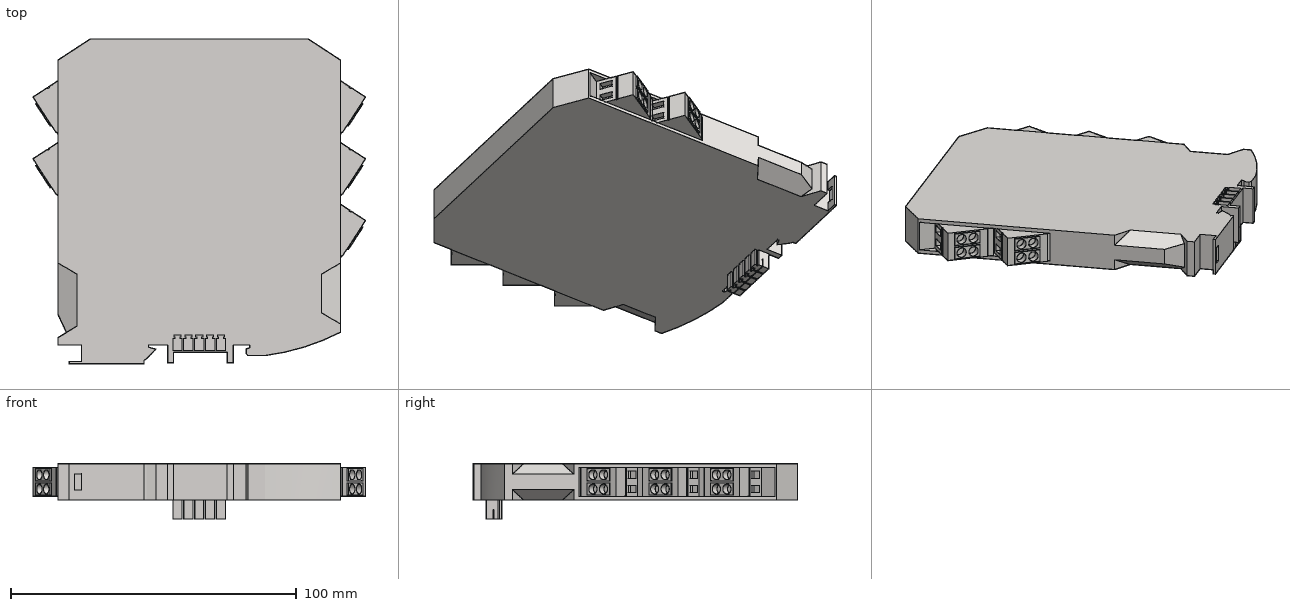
import cadquery as cq
import math

OVERALL_X = 116.41
OVERALL_Y = 113.7
OVERALL_Z = 19.4
BODY_WIDTH = 99.0
BODY_THICK = 12.8
FOOT_BOTTOM_Y = -6.55
HALF_WIDTH = BODY_WIDTH / 2
BODY_TOP_Y = OVERALL_Y + FOOT_BOTTOM_Y
MID_Z = BODY_THICK / 2
PLUG_LENGTH = OVERALL_Z - BODY_THICK

CORNER_CUT_X = 11.4
CORNER_CUT_Y = 7.45
NOTCH_TOP_Y = 10.8
NOTCH_DEPTH = 3.0
HOOK_FLAT_START_X = 23.1
HOOK_BOTTOM_Y = -3.7
HOOK_TIP_X = 16.4
HOOK_TIP_TOP_Y = -1.3
HOOK_ROOT_X = 17.6
HOOK_ROOT_Y = -0.9
HOOK_CHAMFER = 0.7
SWEEP_END_Y = 4.5
SWEEP_SAG = 1.2

GRIP_DEPTH = 6.65
GRIP_HEIGHT = 3.7
GRIP_TOP_Y = 28.8
GRIP_END_SLANT = 4.0
LEFT_GRIP_BOTTOM_Y = 2.6
RIGHT_GRIP_BOTTOM_Y = 7.3
GRIP_END_SLOPE = GRIP_END_SLANT / GRIP_DEPTH

FOOT_LEFT_X = -41.25
FOOT_RIGHT_X = -17.7
FOOT_STEP_Y = -0.7
FOOT_NOSE_X = -15.15
FOOT_NOSE_Y = -1.4
FOOT_HEEL_X = -18.3
FOOT_HEEL_Y = -4.7
FOOT_BASE_X = -19.3
FOOT_BASE_Y = -5.4
TAB_LEFT_X = -45.5
TAB_THICK = 0.85
TAB_SLOT_LEFT_X = -43.7
TAB_SLOT_HEIGHT = 5.6

BUS_CENTER_X = 0.4
BUS_HALF_WIDTH = 11.5
BUS_TOP_Y = 6.4
BUS_LEG_BOTTOM_Y = -6.2
BUS_LEG_WIDTH = 2.15
BUS_FRONT_Y = -2.55
CONTACT_COUNT = 5
CONTACT_PITCH = 3.81
CONTACT_HALF_WIDTH = 1.65
CONTACT_BOTTOM_Y = -1.9
CONTACT_SHOULDER_Y = 2.3
CONTACT_HEAD_Y = 2.8
CONTACT_TOP_Y = 3.6
CONTACT_NECK_HALF = 0.85
CONTACT_HEAD_HALF = 1.25
SOCKET_DEPTH = 8.0
SLIT_Y = 0.7
SLIT_WIDTH = 0.2
SLIT_LENGTH = 3.2

TERMINAL_ANGLE = 33.0
TERMINAL_CORNER_Y = 86.8
TERMINAL_PITCH = 21.6
LEFT_TERMINALS = 2
RIGHT_TERMINALS = 3
TERMINAL_HEIGHT = 10.2
TERMINAL_LENGTH = 14.8
TERMINAL_DEPTH = 14.1
HEADER_LENGTH = 17.0
HEADER_SETBACK = 0.2
POCKET_CLEARANCE = 5.6
ROW_PITCH = 5.0
FRAME_START = 2.5
FRAME_LENGTH = 9.3
FRAME_HEIGHT = 4.3
FRAME_RAISE = 0.5
WIRE_HOLE_PITCH = 4.4
WIRE_HOLE_DIAMETER = 3.4
WIRE_HOLE_DEPTH = 3.0
GROOVE_START = 6.0
GROOVE_WIDTH = 0.6
GROOVE_DEPTH = 0.3
RELEASE_START = 8.1
RELEASE_LENGTH = 4.6
RELEASE_HEIGHT = 2.5
RELEASE_DEPTH = 2.2
ROW_OFFSETS = (-ROW_PITCH / 2, ROW_PITCH / 2)


def box(x0, x1, y0, y1, z0, z1):
    """Axis-aligned block between two opposite corners."""
    return cq.Workplane("XY").box(x1 - x0, y1 - y0, z1 - z0, centered=False).translate((x0, y0, z0))


def centered_slab(x0, x1, y0, y1, z_center, height):
    """Block centred in Z about the given height."""
    return box(x0, x1, y0, y1, z_center - height / 2, z_center + height / 2)


def housing():
    """Flat housing with cut top corners, side notch, rail hook and curved lower edge."""
    notch_point_y = LEFT_GRIP_BOTTOM_Y + GRIP_END_SLOPE * NOTCH_DEPTH
    chord_x = HALF_WIDTH - HOOK_FLAT_START_X
    chord_y = SWEEP_END_Y - HOOK_BOTTOM_Y
    chord = math.hypot(chord_x, chord_y)
    sweep_mid = (
        (HALF_WIDTH + HOOK_FLAT_START_X) / 2 + SWEEP_SAG * chord_y / chord,
        (SWEEP_END_Y + HOOK_BOTTOM_Y) / 2 - SWEEP_SAG * chord_x / chord,
    )
    return (
        cq.Workplane("XY")
        .moveTo(-HALF_WIDTH, 0)
        .lineTo(-HALF_WIDTH, LEFT_GRIP_BOTTOM_Y)
        .lineTo(-HALF_WIDTH + NOTCH_DEPTH, notch_point_y)
        .lineTo(-HALF_WIDTH, NOTCH_TOP_Y)
        .lineTo(-HALF_WIDTH, BODY_TOP_Y - CORNER_CUT_Y)
        .lineTo(-HALF_WIDTH + CORNER_CUT_X, BODY_TOP_Y)
        .lineTo(HALF_WIDTH - CORNER_CUT_X, BODY_TOP_Y)
        .lineTo(HALF_WIDTH, BODY_TOP_Y - CORNER_CUT_Y)
        .lineTo(HALF_WIDTH, SWEEP_END_Y)
        .threePointArc(sweep_mid, (HOOK_FLAT_START_X, HOOK_BOTTOM_Y))
        .lineTo(HOOK_TIP_X + HOOK_CHAMFER, HOOK_BOTTOM_Y)
        .lineTo(HOOK_TIP_X, HOOK_BOTTOM_Y + HOOK_CHAMFER)
        .lineTo(HOOK_TIP_X, HOOK_TIP_TOP_Y)
        .lineTo(HOOK_ROOT_X, HOOK_ROOT_Y)
        .lineTo(HOOK_ROOT_X, 0)
        .close()
        .extrude(BODY_THICK)
    )


def left_grip_cutter(bottom_y):
    """Pair of sloped recesses on the left edge, one per face, with slanted end walls."""
    outer_x = -HALF_WIDTH
    plan = (
        cq.Workplane("XY")
        .polyline([
            (outer_x, bottom_y),
            (outer_x, GRIP_TOP_Y),
            (outer_x + GRIP_DEPTH, GRIP_TOP_Y - GRIP_END_SLANT),
            (outer_x + GRIP_DEPTH, bottom_y + GRIP_END_SLANT),
        ])
        .close()
        .extrude(BODY_THICK)
    )
    wedge = (
        cq.Workplane("XZ")
        .polyline([
            (outer_x, BODY_THICK),
            (outer_x + GRIP_DEPTH, BODY_THICK),
            (outer_x, BODY_THICK - GRIP_HEIGHT),
        ])
        .close()
        .extrude(-GRIP_TOP_Y)
    )
    front_recess = plan.intersect(wedge)
    back_recess = front_recess.mirror("XY").translate((0, 0, BODY_THICK))
    return front_recess.union(back_recess)


def rail_foot():
    """Sliding rail foot with a slotted pull tab."""
    tab_top_y = FOOT_BOTTOM_Y + TAB_THICK
    foot = (
        cq.Workplane("XY")
        .polyline([
            (FOOT_LEFT_X, 0),
            (FOOT_RIGHT_X, 0),
            (FOOT_RIGHT_X, FOOT_STEP_Y),
            (FOOT_NOSE_X, FOOT_NOSE_Y),
            (FOOT_HEEL_X, FOOT_HEEL_Y),
            (FOOT_BASE_X, FOOT_BASE_Y),
            (FOOT_BASE_X, FOOT_BOTTOM_Y),
            (TAB_LEFT_X, FOOT_BOTTOM_Y),
            (TAB_LEFT_X, tab_top_y),
            (FOOT_LEFT_X, tab_top_y),
        ])
        .close()
        .extrude(BODY_THICK)
    )
    slot = centered_slab(TAB_SLOT_LEFT_X, FOOT_LEFT_X, FOOT_BOTTOM_Y, tab_top_y, MID_Z, TAB_SLOT_HEIGHT)
    return foot.cut(slot)


def bus_shell():
    """Bus connector block with two legs reaching down beside its front wall."""
    left_x = BUS_CENTER_X - BUS_HALF_WIDTH
    right_x = BUS_CENTER_X + BUS_HALF_WIDTH
    block = box(left_x, right_x, BUS_LEG_BOTTOM_Y, BUS_TOP_Y, 0, BODY_THICK)
    gap = box(left_x + BUS_LEG_WIDTH, right_x - BUS_LEG_WIDTH, BUS_LEG_BOTTOM_Y, BUS_FRONT_Y, 0, BODY_THICK)
    return block.cut(gap)


def contact_prisms(z_start, length):
    """Row of keyed contact prisms: a wide body, a neck and a small head."""
    right_half = [
        (CONTACT_HALF_WIDTH, CONTACT_BOTTOM_Y),
        (CONTACT_HALF_WIDTH, CONTACT_SHOULDER_Y),
        (CONTACT_NECK_HALF, CONTACT_SHOULDER_Y),
        (CONTACT_NECK_HALF, CONTACT_HEAD_Y),
        (CONTACT_HEAD_HALF, CONTACT_HEAD_Y),
        (CONTACT_HEAD_HALF, CONTACT_TOP_Y),
    ]
    left_half = [(-x, y) for x, y in reversed(right_half)]
    prism = cq.Workplane("XY").polyline(right_half + left_half).close().extrude(length)
    row = cq.Workplane("XY")
    for index in range(CONTACT_COUNT):
        x = (index - (CONTACT_COUNT - 1) / 2) * CONTACT_PITCH
        row = row.add(prism.translate((x, 0, z_start)))
    return row.combine()


def bus_plugs():
    """Plugs below the housing, each slit across its tip, rooted in the connector block."""
    plugs = contact_prisms(-PLUG_LENGTH, PLUG_LENGTH)
    slit = box(
        -BUS_HALF_WIDTH, BUS_HALF_WIDTH,
        SLIT_Y - SLIT_WIDTH / 2, SLIT_Y + SLIT_WIDTH / 2,
        -PLUG_LENGTH, -PLUG_LENGTH + SLIT_LENGTH,
    )
    return plugs.cut(slit)


def wire_hole(y, z):
    """Cutter for one round wire hole, running inward from the raised frame along +X."""
    return (
        cq.Workplane("YZ", origin=(-FRAME_RAISE, y, z))
        .circle(WIRE_HOLE_DIAMETER / 2)
        .extrude(WIRE_HOLE_DEPTH)
    )


def terminal():
    """Terminal with its outer corner at the origin: wire face on X = 0, upper side on Y = 0."""
    plug = centered_slab(0, TERMINAL_DEPTH, -TERMINAL_LENGTH, 0, 0, TERMINAL_HEIGHT)
    header = centered_slab(HEADER_SETBACK, TERMINAL_DEPTH, -HEADER_LENGTH, 0, 0, TERMINAL_HEIGHT)
    groove = centered_slab(GROOVE_START, GROOVE_START + GROOVE_WIDTH, -GROOVE_DEPTH, 0, 0, TERMINAL_HEIGHT)
    block = plug.union(header).cut(groove)
    frame_mid_y = -FRAME_START - FRAME_LENGTH / 2
    for row_z in ROW_OFFSETS:
        frame = centered_slab(-FRAME_RAISE, 0, -FRAME_START - FRAME_LENGTH, -FRAME_START, row_z, FRAME_HEIGHT)
        block = block.union(frame)
        release = centered_slab(
            RELEASE_START, RELEASE_START + RELEASE_LENGTH, -RELEASE_DEPTH, 0, row_z, RELEASE_HEIGHT
        )
        block = block.cut(release)
        for side in (-1, 1):
            block = block.cut(wire_hole(frame_mid_y + side * WIRE_HOLE_PITCH / 2, row_z))
    return block


def place_left(shape, index):
    """Tilt a terminal-frame shape and move it to its position on the left edge."""
    corner = (-OVERALL_X / 2, TERMINAL_CORNER_Y - index * TERMINAL_PITCH, MID_Z)
    return shape.rotate((0, 0, 0), (0, 0, 1), TERMINAL_ANGLE).translate(corner)


def terminal_placements(shape):
    """Copies of a terminal-frame shape at every terminal position on both edges."""
    left = [place_left(shape, index) for index in range(LEFT_TERMINALS)]
    right = [place_left(shape, index).mirror("YZ") for index in range(RIGHT_TERMINALS)]
    return left + right


result = housing()
result = result.cut(left_grip_cutter(LEFT_GRIP_BOTTOM_Y))
result = result.cut(left_grip_cutter(RIGHT_GRIP_BOTTOM_Y).mirror("YZ"))
result = result.union(rail_foot())
result = result.union(bus_shell())
result = result.cut(contact_prisms(BODY_THICK - SOCKET_DEPTH, SOCKET_DEPTH))
result = result.union(bus_plugs())

access_pocket = centered_slab(0, TERMINAL_DEPTH, -RELEASE_DEPTH, POCKET_CLEARANCE, 0, TERMINAL_HEIGHT)
for pocket in terminal_placements(access_pocket):
    result = result.cut(pocket)
for block in terminal_placements(terminal()):
    result = result.union(block)